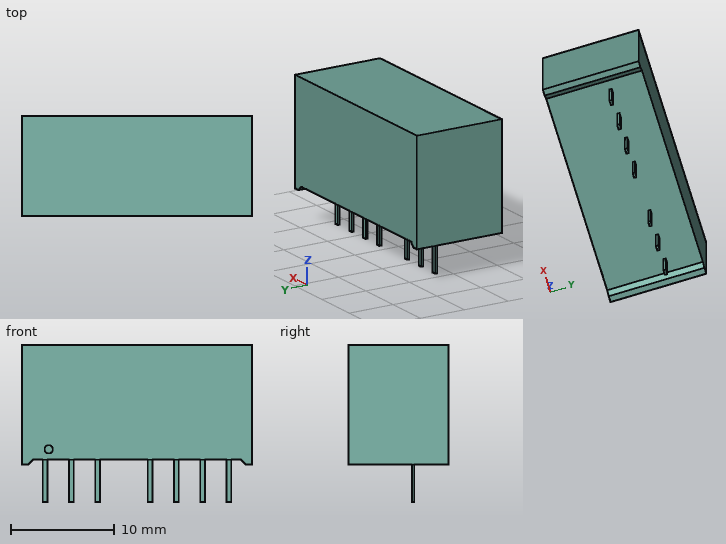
import cadquery as cq

LENGTH = 22.3
DEPTH = 9.7
HEIGHT = 11.6
RECESS_HEIGHT = 0.5
FOOT_WIDTH = 0.62
FOOT_SLOPE_RUN = RECESS_HEIGHT

TOTAL_HEIGHT = 15.2
PIN_PITCH = 2.55
PIN_POSITIONS = 8
EMPTY_POSITION = 3
PIN_WIDTH = 0.5
PIN_THICKNESS = 0.25
PIN_Y = 1.4
PIN_BOTTOM = HEIGHT - TOTAL_HEIGHT

MARKER_DIAMETER = 0.8
MARKER_DEPTH = 0.11
MARKER_X = -8.55
MARKER_Z = 1.5


def make_marker():
    """Round disc whose outer face is flush with the front of the housing."""
    front = cq.Workplane("XZ", origin=(MARKER_X, -DEPTH / 2, MARKER_Z))
    return front.circle(MARKER_DIAMETER / 2).extrude(-MARKER_DEPTH)


def make_housing(marker):
    """Block standing on two end feet, with a pocket for the marker."""
    foot_inner = LENGTH / 2 - FOOT_WIDTH
    floor_end = foot_inner - FOOT_SLOPE_RUN
    outline = (
        cq.Workplane("XZ", origin=(0, DEPTH / 2, 0))
        .moveTo(-LENGTH / 2, HEIGHT)
        .lineTo(-LENGTH / 2, 0)
        .lineTo(-foot_inner, 0)
        .lineTo(-floor_end, RECESS_HEIGHT)
        .lineTo(floor_end, RECESS_HEIGHT)
        .lineTo(foot_inner, 0)
        .lineTo(LENGTH / 2, 0)
        .lineTo(LENGTH / 2, HEIGHT)
        .close()
    )
    return outline.extrude(DEPTH).cut(marker)


def make_pin(x):
    """Flat pin hanging from the housing floor."""
    return cq.Workplane("XY").box(
        PIN_WIDTH, PIN_THICKNESS, RECESS_HEIGHT - PIN_BOTTOM, centered=(True, True, False)
    ).translate((x, PIN_Y, PIN_BOTTOM))


marker = make_marker()
housing = make_housing(marker)

first_pin_x = -PIN_PITCH * (PIN_POSITIONS - 1) / 2
pins = []
for position in range(PIN_POSITIONS):
    if position != EMPTY_POSITION:
        pins.append(make_pin(first_pin_x + position * PIN_PITCH))

result = cq.Compound.makeCompound([housing.val(), marker.val(), *[pin.val() for pin in pins]])